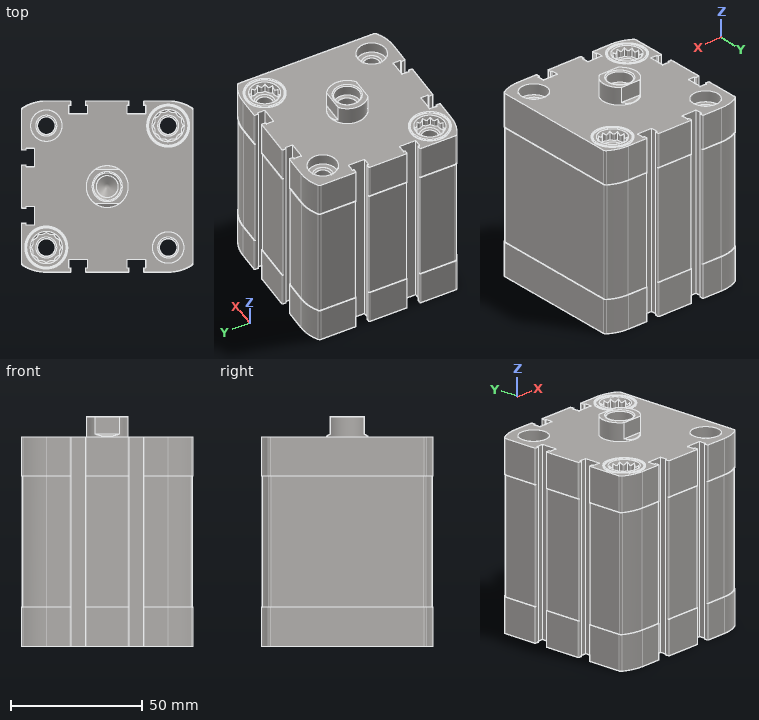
import cadquery as cq
import math


CAP_WIDTH = 65.5
TUBE_INSET = 0.25
TUBE_WIDTH = CAP_WIDTH - 2 * TUBE_INSET
HOUSING_HEIGHT = 80.0
CAP_HEIGHT = 15.0
TUBE_HEIGHT = HOUSING_HEIGHT - 2 * CAP_HEIGHT

BOLT_OFFSET = 46.5 / 2
CORNER_ARC_RADIUS = 17.0
CORNER_EDGE_RADIUS = 1.2

SLOT_OFFSET = 11.1
SLOT_OPENING = 5.6
SLOT_INNER_WIDTH = 7.0
SLOT_LIP = 1.75
SLOT_DEPTH = 4.9
SLOT_MOUTH_RADIUS = 0.3
SLOT_FLOOR_Y = CAP_WIDTH / 2 - SLOT_DEPTH
SLOT_LIP_Y = CAP_WIDTH / 2 - SLOT_LIP
SLOT_CLEARANCE = 1.0

BOLT_HOLE_DIAMETER = 6.65
BOLT_COUNTERSINK_DIAMETER = 8.0
BOLT_COUNTERSINK_DEPTH = (BOLT_COUNTERSINK_DIAMETER - BOLT_HOLE_DIAMETER) / 2
PLAIN_SOCKET_DEPTH = 4.75
PLAIN_SOCKET_DIAMETER = 12.0

STAR_SOCKET_DEPTH = 4.5
STAR_ACROSS_FLATS = 10.0
STAR_ACROSS_CORNERS = STAR_ACROSS_FLATS / math.cos(math.pi / 6)
STAR_RIDGE_DIAMETER = 10.5
STAR_MOUTH_DIAMETER = 12.3
STAR_MOUTH_DEPTH = 2.3
STAR_MOUTH_SMALL_DIAMETER = 10.0
RING_OUTER_DIAMETER = 16.4
RING_BOTTOM_OUTER_DIAMETER = 16.0
RING_BOTTOM_INNER_DIAMETER = 15.5
RING_INNER_DIAMETER = 15.0
RING_DEPTH = 0.5

ROD_DIAMETER = 16.0
ROD_PROTRUSION = 7.7
ROD_BOTTOM = HOUSING_HEIGHT - CAP_HEIGHT
ROD_TOP = HOUSING_HEIGHT + ROD_PROTRUSION
FLAT_ACROSS = 13.0
FLAT_LENGTH = 6.6
FLAT_RUNOUT_ANGLE = math.radians(30)
BORE_MOUTH_DIAMETER = 11.5
BORE_COUNTERBORE_DIAMETER = 10.5
BORE_COUNTERBORE_DEPTH = 5.0
BORE_THREAD_DIAMETER = 8.38
BORE_THREAD_DEPTH = 16.0
BORE_CONE_SLOPE = math.tan(math.radians(30))


def corner_outline(width):
    """Square with its four corners trimmed by arcs tangent to the +Y and -Y faces."""
    half = width / 2
    arc_center_y = half - CORNER_ARC_RADIUS

    def arc_y(x):
        return arc_center_y + math.sqrt(CORNER_ARC_RADIUS**2 - (x - BOLT_OFFSET)**2)

    mid_x = (BOLT_OFFSET + half) / 2
    return (
        cq.Workplane("XY")
        .moveTo(-BOLT_OFFSET, half)
        .lineTo(BOLT_OFFSET, half)
        .threePointArc((mid_x, arc_y(mid_x)), (half, arc_y(half)))
        .lineTo(half, -arc_y(half))
        .threePointArc((mid_x, -arc_y(mid_x)), (BOLT_OFFSET, -half))
        .lineTo(-BOLT_OFFSET, -half)
        .threePointArc((-mid_x, -arc_y(mid_x)), (-half, -arc_y(half)))
        .lineTo(-half, arc_y(half))
        .threePointArc((-mid_x, arc_y(mid_x)), (-BOLT_OFFSET, half))
        .close()
    )


def slot_cutter(width, height):
    """T-slot in the +Y face of a section, with rounded mouth edges."""
    face = width / 2
    outside = face + SLOT_CLEARANCE
    opening = SLOT_OPENING / 2
    inner = SLOT_INNER_WIDTH / 2
    mouth = opening + SLOT_MOUTH_RADIUS
    mouth_start = face - SLOT_MOUTH_RADIUS
    bulge = SLOT_MOUTH_RADIUS * (1 - math.sqrt(0.5))
    return (
        cq.Workplane("XY")
        .moveTo(-inner, SLOT_FLOOR_Y)
        .lineTo(inner, SLOT_FLOOR_Y)
        .lineTo(inner, SLOT_LIP_Y)
        .lineTo(opening, SLOT_LIP_Y)
        .lineTo(opening, mouth_start)
        .threePointArc((opening + bulge, face - bulge), (mouth, face))
        .lineTo(mouth, outside)
        .lineTo(-mouth, outside)
        .lineTo(-mouth, face)
        .threePointArc((-opening - bulge, face - bulge), (-opening, mouth_start))
        .lineTo(-opening, SLOT_LIP_Y)
        .lineTo(-inner, SLOT_LIP_Y)
        .close()
        .extrude(height)
    )


def profile_section(width, height, bottom):
    """One length of the slotted housing profile; the +X face stays plain."""
    section = corner_outline(width).extrude(height)
    section = section.edges("|Z").edges(">X or <X").fillet(CORNER_EDGE_RADIUS)
    for face_angle in (0, 90, 180):
        for offset in (-SLOT_OFFSET, SLOT_OFFSET):
            slot = slot_cutter(width, height).translate((offset, 0, 0))
            section = section.cut(slot.rotate((0, 0, 0), (0, 0, 1), face_angle))
    return section.translate((0, 0, bottom))


def cylinder(diameter, bottom, top):
    return cq.Workplane("XY").workplane(offset=bottom).circle(diameter / 2).extrude(top - bottom)


def cone(bottom_diameter, top_diameter, bottom, top):
    solid = cq.Solid.makeCone(bottom_diameter / 2, top_diameter / 2, top - bottom, cq.Vector(0, 0, bottom))
    return cq.Workplane(obj=solid)


def bolt_hole_cutter(socket_depth):
    """Through hole with a countersink at the socket floor."""
    floor = HOUSING_HEIGHT - socket_depth
    countersink = cone(BOLT_HOLE_DIAMETER, BOLT_COUNTERSINK_DIAMETER, floor - BOLT_COUNTERSINK_DEPTH, floor)
    return cylinder(BOLT_HOLE_DIAMETER, 0, floor).union(countersink)


def plain_socket_cutter():
    socket = cylinder(PLAIN_SOCKET_DIAMETER, HOUSING_HEIGHT - PLAIN_SOCKET_DEPTH, HOUSING_HEIGHT)
    return socket.union(bolt_hole_cutter(PLAIN_SOCKET_DEPTH))


def star_socket_cutter():
    """Twelve-point socket: two hexagons with blunted ridges between the points and a conical mouth."""
    floor = HOUSING_HEIGHT - STAR_SOCKET_DEPTH
    hexagon = (
        cq.Workplane("XY")
        .workplane(offset=floor)
        .polygon(6, STAR_ACROSS_CORNERS)
        .extrude(STAR_SOCKET_DEPTH)
    )
    star = hexagon.union(hexagon.rotate((0, 0, 0), (0, 0, 1), 30))
    star = star.union(cylinder(STAR_RIDGE_DIAMETER, floor, HOUSING_HEIGHT))
    mouth = cone(
        STAR_MOUTH_SMALL_DIAMETER, STAR_MOUTH_DIAMETER, HOUSING_HEIGHT - STAR_MOUTH_DEPTH, HOUSING_HEIGHT
    )
    return star.union(mouth).union(bolt_hole_cutter(STAR_SOCKET_DEPTH))


def ring_groove_cutter():
    """Tapered groove around a twelve-point socket."""
    return (
        cq.Workplane("XZ")
        .moveTo(RING_INNER_DIAMETER / 2, HOUSING_HEIGHT)
        .lineTo(RING_BOTTOM_INNER_DIAMETER / 2, HOUSING_HEIGHT - RING_DEPTH)
        .lineTo(RING_BOTTOM_OUTER_DIAMETER / 2, HOUSING_HEIGHT - RING_DEPTH)
        .lineTo(RING_OUTER_DIAMETER / 2, HOUSING_HEIGHT)
        .close()
        .revolve(360, (0, 0, 0), (0, 1, 0))
    )


def make_housing():
    body = profile_section(CAP_WIDTH, CAP_HEIGHT, 0)
    body = body.union(profile_section(TUBE_WIDTH, TUBE_HEIGHT, CAP_HEIGHT))
    body = body.union(profile_section(CAP_WIDTH, CAP_HEIGHT, HOUSING_HEIGHT - CAP_HEIGHT))
    body = body.cut(cylinder(ROD_DIAMETER, ROD_BOTTOM, HOUSING_HEIGHT))

    for x_side in (-1, 1):
        for y_side in (-1, 1):
            position = (x_side * BOLT_OFFSET, y_side * BOLT_OFFSET, 0)
            if x_side == y_side:
                body = body.cut(star_socket_cutter().translate(position))
                body = body.cut(ring_groove_cutter().translate(position))
            else:
                body = body.cut(plain_socket_cutter().translate(position))
    return body


def flat_cutter():
    """Wrench flat on the +Y side of the rod, ending in a ledge that slopes down and out."""
    flat_y = FLAT_ACROSS / 2
    outer_y = ROD_DIAMETER / 2
    ledge_z = ROD_TOP - FLAT_LENGTH
    ledge_drop = (outer_y - flat_y) * math.tan(FLAT_RUNOUT_ANGLE)
    return (
        cq.Workplane("YZ")
        .moveTo(flat_y, ROD_TOP)
        .lineTo(flat_y, ledge_z)
        .lineTo(outer_y, ledge_z - ledge_drop)
        .lineTo(outer_y, ROD_TOP)
        .close()
        .extrude(ROD_DIAMETER / 2, both=True)
    )


def rod_bore_cutter():
    """Blind threaded bore: chamfered mouth, counterbore, conical step and drill point."""
    mouth_radius = BORE_MOUTH_DIAMETER / 2
    counterbore_radius = BORE_COUNTERBORE_DIAMETER / 2
    thread_radius = BORE_THREAD_DIAMETER / 2
    mouth_z = ROD_TOP - (mouth_radius - counterbore_radius)
    step_top = ROD_TOP - BORE_COUNTERBORE_DEPTH
    step_bottom = step_top - (counterbore_radius - thread_radius) * BORE_CONE_SLOPE
    thread_bottom = ROD_TOP - BORE_THREAD_DEPTH
    drill_tip = thread_bottom - thread_radius * BORE_CONE_SLOPE
    return (
        cq.Workplane("XZ")
        .moveTo(0, ROD_TOP)
        .lineTo(mouth_radius, ROD_TOP)
        .lineTo(counterbore_radius, mouth_z)
        .lineTo(counterbore_radius, step_top)
        .lineTo(thread_radius, step_bottom)
        .lineTo(thread_radius, thread_bottom)
        .lineTo(0, drill_tip)
        .close()
        .revolve(360, (0, 0, 0), (0, 1, 0))
    )


def make_rod():
    shaft = cylinder(ROD_DIAMETER, ROD_BOTTOM, ROD_TOP)
    flat = flat_cutter()
    shaft = shaft.cut(flat).cut(flat.mirror("XZ"))
    return shaft.cut(rod_bore_cutter())


housing = make_housing()
rod = make_rod()

result = cq.Compound.makeCompound([housing.val(), rod.val()])